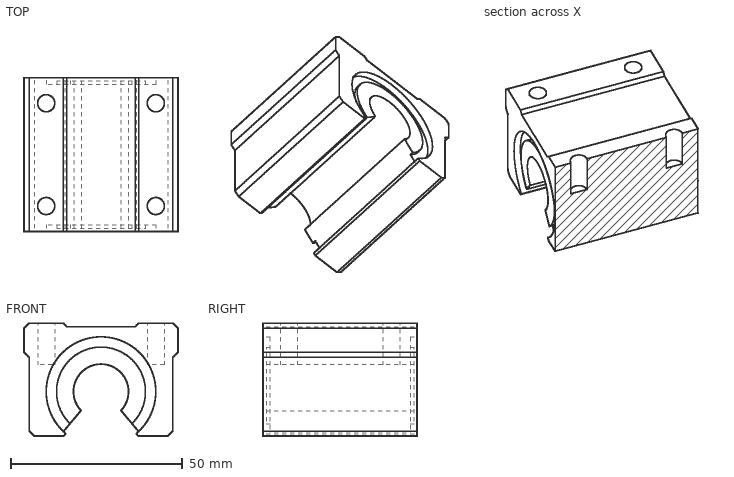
import cadquery as cq
import math

width = 45.0
length = 45.0
height = 33.0
half_width = width / 2
edge_chamfer = 1.5

flange_overhang = 1.5
flange_underside_z = 23.0
half_body = half_width - flange_overhang

channel_depth = 1.0
channel_floor_half_width = 10.0
channel_top_half_width = channel_floor_half_width + channel_depth

axis_z = 13.0
bearing_radius = 16.0
bore_radius = 8.0
hub_radius = 13.0
hub_recess = 1.0
groove_depth = 2.0

opening_half_angle = math.radians(40)
bearing_wedge_rise = 1.4

hole_diameter = 5.0
hole_depth = 12.0
hole_spacing_x = 32.0
hole_spacing_y = 30.0


def extrude_along_y(sketch, span):
    """Extrude an XZ-plane sketch symmetrically about Y = 0."""
    return sketch.extrude(span / 2, both=True)


def make_block():
    """Flanged block with the top channel and chamfered corners."""
    right_side = [
        (half_body - edge_chamfer, 0),
        (half_body, edge_chamfer),
        (half_body, flange_underside_z),
        (half_width, flange_underside_z + edge_chamfer),
        (half_width, height - edge_chamfer),
        (half_width - edge_chamfer, height),
        (channel_top_half_width, height),
        (channel_floor_half_width, height - channel_depth),
    ]
    left_side = [(-x, z) for x, z in reversed(right_side)]
    return extrude_along_y(cq.Workplane("XZ").polyline(right_side + left_side).close(), length)


def axial_cylinder(radius, span):
    """Cylinder on the bearing axis, centred on Y = 0."""
    return extrude_along_y(cq.Workplane("XZ").center(0, axis_z).circle(radius), span)


def opening_wedge(apex_z):
    """Wedge that widens downward from its apex and passes out of the base."""
    bottom_z = -height
    half_base = (apex_z - bottom_z) * math.tan(opening_half_angle)
    outline = [(0, apex_z), (half_base, bottom_z), (-half_base, bottom_z)]
    return extrude_along_y(cq.Workplane("XZ").polyline(outline).close(), length)


def make_housing():
    """Block bored for the bearing and opened downward."""
    bored = make_block().cut(axial_cylinder(bearing_radius, length))
    return bored.cut(opening_wedge(axis_z))


def make_bearing():
    """Open bearing with a raised hub at each end."""
    sleeve = axial_cylinder(bearing_radius, length - 2 * groove_depth)
    hub = axial_cylinder(hub_radius, length - 2 * hub_recess)
    solid = sleeve.union(hub).cut(axial_cylinder(bore_radius, length))
    return solid.cut(opening_wedge(axis_z + bearing_wedge_rise))


def make_mounting_holes():
    """Four blind holes sunk from the top face."""
    return (
        cq.Workplane("XY", origin=(0, 0, height))
        .rarray(hole_spacing_x, hole_spacing_y, 2, 2)
        .circle(hole_diameter / 2)
        .extrude(-hole_depth)
    )


result = make_housing().union(make_bearing()).cut(make_mounting_holes())